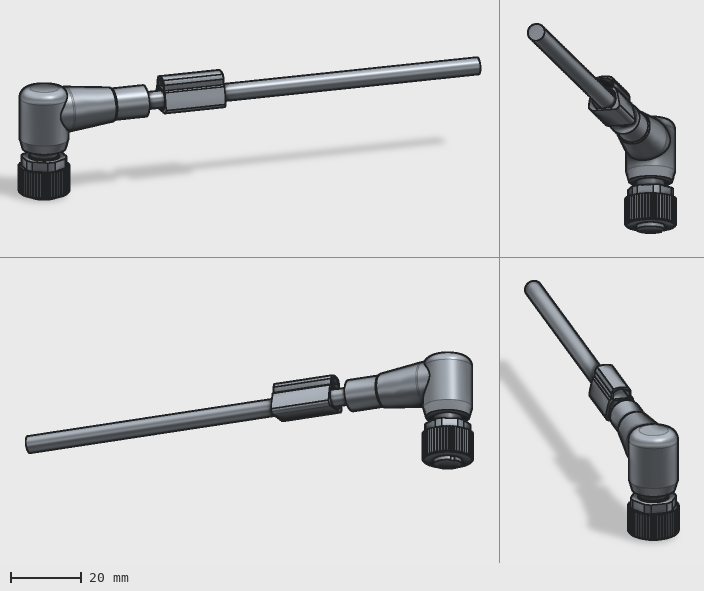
import cadquery as cq
import math


total_length = 137.3

housing_top = 7.0
housing_taper_start = -8.0
housing_bottom = -10.8
collar_top = -12.9
nut_top = -13.3
knurl_top = -16.0
nut_bottom = -23.8
insert_bottom = -25.0

housing_radius = 7.0
housing_bottom_radius = 6.2
housing_top_fillet = 2.9
arm_radius = 6.5
arm_taper_start = 6.9
arm_taper_end = 19.9
arm_end_radius = 5.0
sleeve_radius = 4.5
sleeve_end = 30.1
sleeve_shoulder = 0.5
arm_blend_radius = 4.1

insert_radius = 4.0
collar_radius = 4.4
key_slot_width = 1.2
key_slot_depth = 0.5
key_slot_angle = 225

knurl_radius = 7.3
knurl_depth = 0.4
knurl_teeth = 50
knurl_chamfer = 0.4
hex_across_flats = 12.1
hex_corner_radius = 6.5
hex_turn = 30

cable_radius = 2.5
cable_end = total_length - knurl_radius

clip_start = 35.0
clip_length = 17.8
clip_wall = 0.5
clip_channel_radius = 3.5
clip_floor_bottom = 2.6
clip_chamber_half_width = 2.9
clip_bottom = -3.3
clip_top = 6.6
clip_shoulder_height = 5.0
clip_bottom_edge = (3.3, clip_bottom)
clip_lower_bulge = (4.1, -2.9)
clip_side_bottom = (4.5, -2.0)
clip_side_middle = (4.1, 0.4)
clip_side_top = (3.5, 2.9)
clip_wall_bottom = (clip_chamber_half_width, 3.3)
clip_shoulder = (clip_chamber_half_width, clip_shoulder_height)
clip_shoulder_bulge = (2.6, 5.5)
clip_cap_edge = (2.2, 6.2)


def cylinder_z(radius, bottom, top):
    """Upright cylinder on the plug axis."""
    return cq.Workplane("XY", origin=(0, 0, bottom)).circle(radius).extrude(top - bottom)


def make_housing():
    """Upright barrel joined to a tapering arm that ends in a plain sleeve."""
    barrel = cylinder_z(housing_radius, housing_taper_start, housing_top)
    barrel = barrel.faces(">Z").edges().fillet(housing_top_fillet)
    taper = (
        cq.Workplane("XY", origin=(0, 0, housing_taper_start))
        .circle(housing_radius)
        .workplane(offset=housing_bottom - housing_taper_start)
        .circle(housing_bottom_radius)
        .loft()
    )
    arm = (
        cq.Workplane("XY")
        .lineTo(arm_radius, 0)
        .lineTo(arm_radius, arm_taper_start)
        .lineTo(arm_end_radius, arm_taper_end)
        .lineTo(sleeve_radius, arm_taper_end + sleeve_shoulder)
        .lineTo(sleeve_radius, sleeve_end)
        .lineTo(0, sleeve_end)
        .close()
        .revolve(360, (0, 0, 0), (0, 1, 0))
    )
    taper_edge = cq.selectors.NearestToPointSelector((0, arm_taper_start, 0))
    arm = arm.edges(taper_edge).fillet(arm_blend_radius)
    return barrel.union(taper).union(arm)


def make_insert():
    """Round insert through the nut, with a cone-shaped collar above the nut and a key slot below."""
    body = cylinder_z(insert_radius, insert_bottom, housing_bottom)
    collar = (
        cq.Workplane("XY", origin=(0, 0, nut_top))
        .circle(collar_radius)
        .workplane(offset=collar_top - nut_top)
        .circle(insert_radius)
        .loft()
    )
    key_slot = (
        cq.Workplane("XY", origin=(0, 0, insert_bottom))
        .transformed(rotate=(0, 0, key_slot_angle))
        .center(insert_radius, 0)
        .rect(2 * key_slot_depth, key_slot_width)
        .extrude(nut_bottom - insert_bottom)
    )
    return body.union(collar).cut(key_slot)


def knurl_outline():
    """Closed outline of pointed teeth around the nut."""
    points = []
    half_pitch = math.pi / knurl_teeth
    for index in range(2 * knurl_teeth):
        radius = knurl_radius - knurl_depth * (index % 2)
        angle = index * half_pitch
        points.append((radius * math.cos(angle), radius * math.sin(angle)))
    return points


def make_nut():
    """Knurled ring under a hexagon with rounded corners, bored to fit the insert."""
    ring = (
        cq.Workplane("XY", origin=(0, 0, nut_bottom))
        .polyline(knurl_outline())
        .close()
        .extrude(knurl_top - nut_bottom)
    )
    chamfered_blank = cylinder_z(knurl_radius, nut_bottom, knurl_top)
    chamfered_blank = chamfered_blank.faces("<Z").edges().chamfer(knurl_chamfer)
    hexagon = (
        cq.Workplane("XY", origin=(0, 0, knurl_top))
        .transformed(rotate=(0, 0, hex_turn))
        .polygon(6, hex_across_flats, circumscribed=True)
        .extrude(nut_top - knurl_top)
    )
    hexagon = hexagon.intersect(cylinder_z(hex_corner_radius, knurl_top, nut_top))
    bore = cylinder_z(insert_radius, nut_bottom, nut_top)
    return ring.intersect(chamfered_blank).union(hexagon).cut(bore)


def make_cable():
    """Plain round cable leaving the end of the sleeve."""
    return (
        cq.Workplane("XZ", origin=(0, sleeve_end, 0))
        .circle(cable_radius)
        .extrude(-(cable_end - sleeve_end))
    )


def left(point):
    """Mirror image of a clip outline point in the plane X = 0."""
    return (-point[0], point[1])


def make_clip():
    """Thin-walled clip, open at both ends: a round-sided cable channel with a marker chamber on top."""
    end_plane = cq.Workplane("XZ", origin=(0, clip_start, 0))
    shell = (
        end_plane.moveTo(*clip_bottom_edge)
        .threePointArc(clip_lower_bulge, clip_side_bottom)
        .threePointArc(clip_side_middle, clip_side_top)
        .lineTo(*clip_wall_bottom)
        .lineTo(*clip_shoulder)
        .threePointArc(clip_shoulder_bulge, clip_cap_edge)
        .threePointArc((0, clip_top), left(clip_cap_edge))
        .threePointArc(left(clip_shoulder_bulge), left(clip_shoulder))
        .lineTo(*left(clip_wall_bottom))
        .lineTo(*left(clip_side_top))
        .threePointArc(left(clip_side_middle), left(clip_side_bottom))
        .threePointArc(left(clip_lower_bulge), left(clip_bottom_edge))
        .close()
        .extrude(-clip_length)
    )

    channel_bottom = clip_bottom + clip_wall
    channel_height = clip_floor_bottom - channel_bottom
    channel_limits = (
        end_plane.center(0, channel_bottom + channel_height / 2)
        .rect(2 * clip_channel_radius, channel_height)
        .extrude(-clip_length)
    )
    channel = end_plane.circle(clip_channel_radius).extrude(-clip_length)
    channel = channel.intersect(channel_limits)

    chamber_half_width = clip_chamber_half_width - clip_wall
    chamber_floor = clip_floor_bottom + clip_wall
    chamber = (
        end_plane.moveTo(-chamber_half_width, chamber_floor)
        .lineTo(chamber_half_width, chamber_floor)
        .lineTo(chamber_half_width, clip_shoulder_height)
        .threePointArc((0, clip_top - clip_wall), (-chamber_half_width, clip_shoulder_height))
        .close()
        .extrude(-clip_length)
    )
    return shell.cut(channel).cut(chamber)


housing = make_housing()
insert = make_insert()
nut = make_nut()
cable = make_cable()
clip = make_clip()

result = cq.Compound.makeCompound(
    [housing.val(), insert.val(), nut.val(), cable.val(), clip.val()]
)